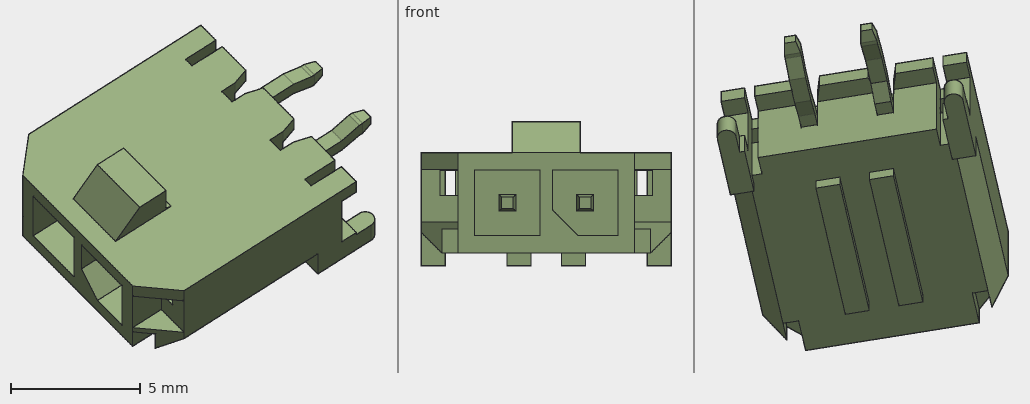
import cadquery as cq


width = 9.65
half_width = width / 2
total_length = 13.08
total_height = 5.57
body_bottom = 0.5
body_top = 4.37
roof_rear = 9.9
body_rear = 9.18
roof_underside = 3.69
corner_cut = 1.41
lower_bevel = 0.8

foot_width = 0.93
foot_front = 8.0
foot_top = 1.1
post_width = 0.73
post_rear = 11.0
post_top = 0.97

rib_spacing = 2.1
rib_width = 0.94
rib_front = 1.7
rib_rear = 7.69

latch_width = 2.63
latch_front = 0.82
latch_crest_front = 2.01
latch_crest_rear = 3.31
latch_rear = 3.56
latch_bevel_height = 0.09

pitch = 3.0
cavity_size = 2.52
cavity_depth = 7.2
key_cut = 1.0
cavity_middle = (body_bottom + body_top) / 2

pocket_bottom = 1.7
pocket_top = 3.71
passage_bottom = 2.72
passage_width = 0.69
slot_width = 0.39
slot_front = 8.41
slot_outer = half_width - foot_width
corner_inner = half_width - corner_cut
notch_top = 1.43

pin_size = 0.64
pin_front = 2.62
tip_length = 0.48
tip_size = 0.45
bend_start = 9.7
bend_end = 12.44
crest_front = 10.49
crest_rear = 11.58
crest_outer_rise = 0.24
crest_inner_rise = 0.27

notch_mouth = 1.09
notch_front = 8.54


def box(x_min, x_max, y_min, y_max, z_min, z_max):
    """Box given by its limits along each axis."""
    size = (x_max - x_min, y_max - y_min, z_max - z_min)
    return cq.Workplane("XY").box(*size, centered=False).translate((x_min, y_min, z_min))


def side_profile(points, depth):
    """Extrude a closed Y-Z outline along X, centred on X = 0."""
    outline = cq.Workplane("YZ").polyline(points).close()
    return outline.extrude(depth / 2, both=True)


def both_sides(shape):
    """The shape together with its mirror image across X = 0."""
    return shape.union(shape.mirror("YZ"))


def shell():
    """Body with an overhanging roof, cut front corners and bevelled lower edges."""
    profile = [
        (0, body_bottom),
        (body_rear, body_bottom),
        (body_rear, roof_underside),
        (roof_rear, roof_underside),
        (roof_rear, body_top),
        (0, body_top),
    ]
    bevel = (
        cq.Workplane("XZ")
        .moveTo(half_width, body_bottom)
        .lineTo(half_width, body_bottom + lower_bevel)
        .lineTo(half_width - lower_bevel, body_bottom)
        .close()
        .extrude(-foot_front)
    )
    corner = (
        cq.Workplane("XY")
        .moveTo(corner_inner, 0)
        .lineTo(half_width, 0)
        .lineTo(half_width, corner_cut)
        .close()
        .extrude(body_top)
    )
    return side_profile(profile, width).cut(both_sides(bevel)).cut(both_sides(corner))


def feet():
    """Rear feet, each with a round-ended locating post behind it."""
    foot = box(slot_outer, half_width, foot_front, roof_rear, 0, foot_top)
    post_middle = half_width - post_width / 2
    round_middle = post_rear - post_width / 2
    post = box(half_width - post_width, half_width, foot_front, round_middle, 0, post_top)
    post_end = cq.Workplane("XY").center(post_middle, round_middle).circle(post_width / 2).extrude(post_top)
    return both_sides(foot.union(post).union(post_end))


def ribs():
    """Two long ribs under the body."""
    inner = (rib_spacing - rib_width) / 2
    return both_sides(box(inner, inner + rib_width, rib_front, rib_rear, 0, body_bottom))


def latch():
    """Locking ramp on the roof."""
    profile = [
        (latch_front, body_top),
        (latch_crest_front, total_height),
        (latch_crest_rear, total_height),
        (latch_crest_rear, body_top + latch_bevel_height),
        (latch_rear, body_top),
    ]
    return side_profile(profile, latch_width)


def side_openings():
    """Corner pocket, the passage behind it, the rear slot and the lower corner notch, on both sides."""
    pocket = box(corner_inner, half_width, 0, corner_cut, pocket_bottom, pocket_top)
    passage = box(
        corner_inner, corner_inner + passage_width, corner_cut, slot_front, passage_bottom, roof_underside
    )
    slot = box(slot_outer - slot_width, slot_outer, slot_front, roof_rear, 0, body_top)
    lower_notch = box(corner_inner, half_width - lower_bevel, 0, corner_cut, body_bottom, notch_top)
    return both_sides(pocket.union(passage).union(slot).union(lower_notch))


def cavity(x_middle, keyed):
    """Square contact cavity; a keyed one has its lower inner corner cut off."""
    half = cavity_size / 2
    shape = cq.Workplane("XY").box(cavity_size, cavity_depth, cavity_size, centered=(True, False, True))
    if keyed:
        key = (
            cq.Workplane("XZ")
            .moveTo(-half, -half)
            .lineTo(key_cut - half, -half)
            .lineTo(-half, key_cut - half)
            .close()
            .extrude(-cavity_depth)
        )
        shape = shape.cut(key)
    return shape.translate((x_middle, 0, cavity_middle))


def roof_notch(x_middle):
    """Notch above a pin, flared where it leaves the roof's rear edge."""
    outline = [
        (-pin_size / 2, notch_front),
        (pin_size / 2, notch_front),
        (pin_size / 2, body_rear),
        (notch_mouth / 2, roof_rear),
        (-notch_mouth / 2, roof_rear),
        (-pin_size / 2, body_rear),
    ]
    notch = cq.Workplane("XY").polyline(outline).close().extrude(body_top - cavity_middle)
    return notch.translate((x_middle, 0, cavity_middle))


def pin_hole(x_middle):
    """Hole through the rear wall that a pin fills."""
    wall = body_rear - cavity_depth
    hole = cq.Workplane("XY").box(pin_size, wall, pin_size, centered=(True, False, True))
    return hole.translate((x_middle, cavity_depth, cavity_middle))


def make_pin(x_middle, bend_side):
    """Square pin with tapered ends and a tail kinked up (bend_side 1) or down (bend_side -1)."""
    half = pin_size / 2
    half_tip = tip_size / 2
    front_shoulder = pin_front + tip_length
    rear_shoulder = total_length - tip_length
    outer_edge = [
        (pin_front, half_tip),
        (front_shoulder, half),
        (bend_start, half),
        (crest_front, half + crest_outer_rise),
        (crest_rear, half + crest_outer_rise),
        (bend_end, half),
        (rear_shoulder, half),
        (total_length, half_tip),
    ]
    inner_edge = [
        (total_length, -half_tip),
        (rear_shoulder, -half),
        (bend_end, -half),
        (crest_rear, crest_inner_rise - half),
        (crest_front, crest_inner_rise - half),
        (bend_start, -half),
        (front_shoulder, -half),
        (pin_front, -half_tip),
    ]
    side = [(y, bend_side * z) for y, z in outer_edge + inner_edge]
    plan = [
        (-half_tip, pin_front),
        (half_tip, pin_front),
        (half, front_shoulder),
        (half, rear_shoulder),
        (half_tip, total_length),
        (-half_tip, total_length),
        (-half, rear_shoulder),
        (-half, front_shoulder),
    ]
    plan_prism = cq.Workplane("XY").polyline(plan).close().extrude(pin_size, both=True)
    return side_profile(side, pin_size).intersect(plan_prism).translate((x_middle, 0, cavity_middle))


def make_housing():
    """Housing with its feet, ribs, latch and openings."""
    body = shell().union(feet()).union(ribs()).union(latch()).cut(side_openings())
    for side in (-1, 1):
        x_middle = side * pitch / 2
        body = body.cut(cavity(x_middle, keyed=side > 0))
        body = body.cut(pin_hole(x_middle)).cut(roof_notch(x_middle))
    return body


housing = make_housing()
pins = [make_pin(side * pitch / 2, -side) for side in (-1, 1)]

result = cq.Compound.makeCompound([housing.val(), *[pin.val() for pin in pins]])